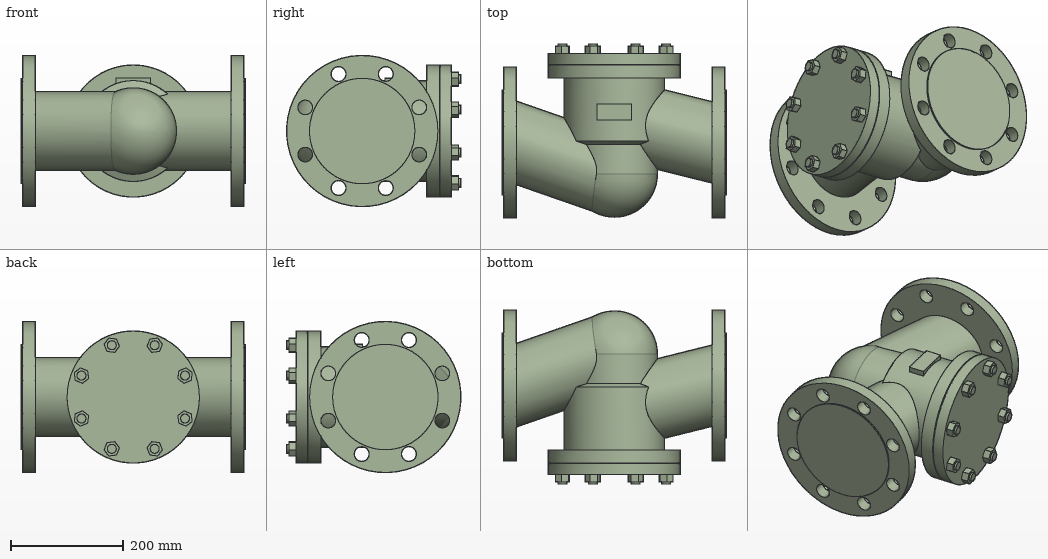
import cadquery as cq
import math


length = 400.0
flange_diameter = 270.0
flange_thickness = 23.0
raised_face_diameter = 188.0
raised_face_height = 3.0
flange_hole_circle = 220.0
flange_hole_diameter = 26.0
bolt_count = 8

pipe_diameter = 141.0
inlet_slope = 19.2
pipe_start_x = 176.0
outlet_slope = 14.0

chamber_diameter = 180.0
bowl_diameter = 154.5
bowl_centre_y = -56.0
shoulder_bottom_y = -3.0
shoulder_top_y = 3.0

body_flange_bottom_y = 115.0
body_flange_thickness = 23.0
gasket_thickness = 1.0
gasket_diameter = 228.0
cover_diameter = 236.0
cover_thickness = 20.0

stud_circle = 200.0
stud_diameter = 16.0
stud_projection = 4.0
nut_width = 24.0
nut_height = 13.0

pad_width = 61.5
pad_height = 29.0
pad_centre_y = 55.0
pad_top_z = 94.5

flange_back_x = length / 2 - raised_face_height - flange_thickness
gasket_bottom_y = body_flange_bottom_y + body_flange_thickness
cover_bottom_y = gasket_bottom_y + gasket_thickness
cover_top_y = cover_bottom_y + cover_thickness
bolt_pitch = 360.0 / bolt_count
half_pitch = bolt_pitch / 2


def disc_along_y(diameter, bottom_y, height):
    """Round disc on the Y axis, rising in +Y from bottom_y."""
    solid = cq.Solid.makeCylinder(diameter / 2, height, cq.Vector(0, bottom_y, 0), cq.Vector(0, 1, 0))
    return cq.Workplane(obj=solid)


def pipe_flange(side):
    """Drilled flange with a raised face, on the -X (side = -1) or +X (side = 1) end."""
    outward = cq.Plane(origin=(side * flange_back_x, 0, 0), xDir=(0, 1, 0), normal=(side, 0, 0))
    plate = cq.Workplane(outward).circle(flange_diameter / 2).extrude(flange_thickness)
    holes = (
        cq.Workplane(outward)
        .polarArray(flange_hole_circle / 2, half_pitch, 360, bolt_count)
        .circle(flange_hole_diameter / 2)
        .extrude(flange_thickness)
    )
    raised_face = (
        cq.Workplane(outward)
        .workplane(offset=flange_thickness)
        .circle(raised_face_diameter / 2)
        .extrude(raised_face_height)
    )
    return plate.cut(holes).union(raised_face)


def sloping_pipe(side, slope, rise):
    """Pipe from one flange to the Y axis; rise is 1 if it climbs towards the axis, -1 if it drops."""
    gradient = rise * math.tan(math.radians(slope))
    inner_end = cq.Vector(0, pipe_start_x * gradient, 0)
    outer_end = cq.Vector(side * length / 2, (pipe_start_x - length / 2) * gradient, 0)
    run = outer_end - inner_end
    pipe = cq.Workplane(obj=cq.Solid.makeCylinder(pipe_diameter / 2, run.Length, inner_end, run))
    cutter_centre_x = side * (flange_back_x + length / 2)
    beyond_flange_back = cq.Workplane("XY").center(cutter_centre_x, 0).box(length, length, length)
    return pipe.cut(beyond_flange_back)


def body():
    """Chamber, conical shoulder, neck and the round bowl at its -Y end."""
    half_profile = (
        cq.Workplane("XY")
        .moveTo(0, bowl_centre_y - bowl_diameter / 2)
        .radiusArc((bowl_diameter / 2, bowl_centre_y), -bowl_diameter / 2)
        .lineTo(bowl_diameter / 2, shoulder_bottom_y)
        .lineTo(chamber_diameter / 2, shoulder_top_y)
        .lineTo(chamber_diameter / 2, body_flange_bottom_y)
        .lineTo(0, body_flange_bottom_y)
        .close()
    )
    return half_profile.revolve(360, (0, 0, 0), (0, 1, 0))


def bonnet():
    """Body flange, narrower gasket and cover."""
    body_flange = disc_along_y(cover_diameter, body_flange_bottom_y, body_flange_thickness)
    gasket = disc_along_y(gasket_diameter, gasket_bottom_y, gasket_thickness)
    cover = disc_along_y(cover_diameter, cover_bottom_y, cover_thickness)
    return body_flange.union(gasket).union(cover)


def stud_and_nut(angle):
    """Hexagon nut with a corner pointing outwards and the stud end above it."""
    nut_corners = nut_width / math.cos(math.radians(30))
    cover_face = cq.Plane(origin=(0, cover_top_y, 0), xDir=(1, 0, 0), normal=(0, 1, 0))
    fastener = (
        cq.Workplane(cover_face)
        .center(stud_circle / 2, 0)
        .polygon(6, nut_corners)
        .extrude(nut_height)
        .faces(">Y")
        .workplane()
        .circle(stud_diameter / 2)
        .extrude(stud_projection)
    )
    return fastener.rotate((0, 0, 0), (0, 1, 0), angle)


def name_plate_pad():
    """Rectangular pad standing proud of the chamber, with its root buried inside it."""
    return (
        cq.Workplane("XY")
        .center(0, pad_centre_y)
        .rect(pad_width, pad_height)
        .extrude(pad_top_z)
    )


result = body().union(bonnet()).union(name_plate_pad())
result = result.union(sloping_pipe(-1, inlet_slope, -1))
result = result.union(sloping_pipe(1, outlet_slope, 1))
for side in (-1, 1):
    result = result.union(pipe_flange(side))
for index in range(bolt_count):
    result = result.union(stud_and_nut(half_pitch + index * bolt_pitch))